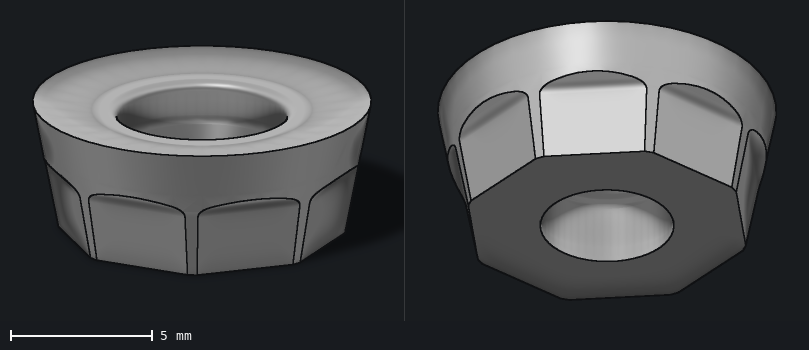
import cadquery as cq
import math

rim_radius = 5.98
height = 4.76
body_taper = math.radians(10.8)
dish_radius = 3.9
dish_floor_z = 4.43

upper_bore_radius = 3.0
lower_bore_radius = 2.35
seat_top_z = 3.05
seat_bottom_z = 2.33
mouth_round = 0.33
seat_top_round = 0.5
seat_bottom_round = 0.35

flat_count = 8
flat_apothem = 4.75
flat_taper = math.radians(10.5)
ramp_corner_z = 2.57
ramp_angle = math.radians(40)
ramp_round = 0.72

clearance = 1.2


def rounded_corner(profile, before, corner, after, radius):
    """Draw a line to a corner and round it with an arc tangent to both sides."""
    corner = cq.Vector(*corner)
    back = (cq.Vector(*before) - corner).normalized()
    ahead = (cq.Vector(*after) - corner).normalized()
    half_angle = back.getAngle(ahead) / 2
    setback = radius / math.tan(half_angle)
    bisector = (back + ahead).normalized()
    middle = corner + bisector * (radius / math.sin(half_angle) - radius)
    start = corner + back * setback
    end = corner + ahead * setback
    return profile.lineTo(start.x, start.y).threePointArc((middle.x, middle.y), (end.x, end.y))


def make_body():
    """Revolve the half section, hole included, about Z."""
    bottom_radius = rim_radius - height * math.tan(body_taper)
    rim = (rim_radius, height)
    dish_edge = (dish_radius, dish_floor_z)
    mouth = (upper_bore_radius, dish_floor_z)
    seat_top = (upper_bore_radius, seat_top_z)
    seat_bottom = (lower_bore_radius, seat_bottom_z)
    hole_bottom = (lower_bore_radius, 0)

    profile = cq.Workplane("XZ").moveTo(*hole_bottom).lineTo(bottom_radius, 0).lineTo(*rim).lineTo(*dish_edge)
    profile = rounded_corner(profile, dish_edge, mouth, seat_top, mouth_round)
    profile = rounded_corner(profile, mouth, seat_top, seat_bottom, seat_top_round)
    profile = rounded_corner(profile, seat_top, seat_bottom, hole_bottom, seat_bottom_round)
    return profile.close().revolve(360, (0, 0, 0), (0, 1, 0))


def make_flat_cutter():
    """Prism that leaves one tapered flat, running through a round into a ramp."""
    outer_x = rim_radius + clearance
    corner_x = flat_apothem + ramp_corner_z * math.tan(flat_taper)
    flat_bottom = (flat_apothem, 0)
    corner = (corner_x, ramp_corner_z)
    ramp_end = (outer_x, ramp_corner_z + (outer_x - corner_x) * math.tan(ramp_angle))

    profile = cq.Workplane("XZ").moveTo(outer_x, 0).lineTo(*flat_bottom)
    profile = rounded_corner(profile, flat_bottom, corner, ramp_end, ramp_round)
    return profile.lineTo(*ramp_end).close().extrude(rim_radius / 2, both=True)


result = make_body()
flat_cutter = make_flat_cutter()
for index in range(flat_count):
    angle = index * 360 / flat_count
    result = result.cut(flat_cutter.rotate((0, 0, 0), (0, 0, 1), angle))